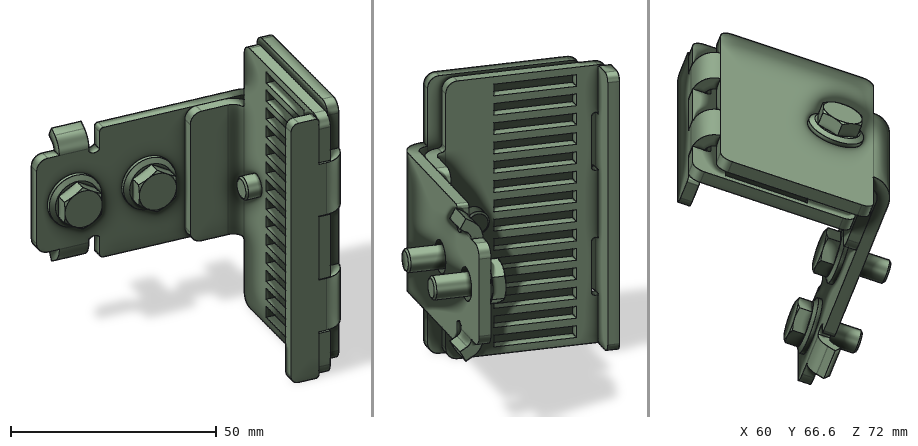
import cadquery as cq
import math


sheet = 3.0
bend_radius = 6.0
corner_radius = 3.0
small_radius = 1.0
hook_corner_radius = 2.0
plate_height = 72.0
arm_height = 36.0
width = 51.0
plate_gap = 1.9

shoulder_y = 44.0
arm_end_y = 61.0
tongue_height = 26.1
relief_width = 2.9
relief_edge_z = 12.25
relief_bottom_z = 11.5
lug_width = 8.0
lug_bend_radius = 2.0
lug_bend_angle = math.radians(60)
lug_straight = 2.15
outer_plate_end_x = 45.6
hook_end_y = 15.5
hook_tab_z = 16.05
hook_tab_height = 14.4

inner_x = sheet
inner_y = sheet + plate_gap
inner_plate_back_y = inner_y + sheet
inner_arm_end_y = 21.0
notch_z = 16.2
notch_height = 15.0
notch_depth = 4.7
slot_count = 14
slot_length = 21.2
slot_height = 3.0
slot_margin = 1.95
slot_pitch = (plate_height - 2 * slot_margin - slot_height) / (slot_count - 1)
slot_end_gap = 8.5

shaft_diameter = 6.0
shaft_length = 12.0
tip_chamfer = 0.5
flange_diameter = 14.2
flange_rim = 1.0
flange_height = 1.9
flange_top_radius = 5.8
hex_flats = 10.0
hex_height = 3.7
hex_chamfer_drop = 0.4
arm_hole_diameter = 8.4
arm_bolt_ys = (30.95, 51.0)
plate_bolt_x = 16.0


def box(x_min, x_max, y_min, y_max, height):
    """Block centred on Z = 0."""
    return cq.Workplane("XY").box(x_max - x_min, y_max - y_min, height).translate(
        ((x_min + x_max) / 2, (y_min + y_max) / 2, 0)
    )


def bent_arm(x, y, end_y, height):
    """Arm along -Y with a quarter bend towards +X; x, y is its sharp outer corner."""
    inside = bend_radius - sheet
    bend_x = x + bend_radius
    bend_y = -y - bend_radius
    diagonal = math.sqrt(0.5)
    return (
        cq.Workplane("XY")
        .moveTo(x, -end_y)
        .lineTo(x, bend_y)
        .threePointArc((bend_x - bend_radius * diagonal, bend_y + bend_radius * diagonal), (bend_x, -y))
        .lineTo(bend_x, -y - sheet)
        .threePointArc((bend_x - inside * diagonal, bend_y + inside * diagonal), (x + sheet, bend_y))
        .lineTo(x + sheet, -end_y)
        .close()
        .extrude(height / 2, both=True)
    )


def arm_relief():
    """Cutter for the arched relief between the shoulder and the upper lug."""
    lug_side_y = -shoulder_y - relief_width
    return (
        cq.Workplane("YZ")
        .moveTo(-shoulder_y, arm_height / 2)
        .lineTo(-shoulder_y, relief_edge_z)
        .threePointArc((-shoulder_y - relief_width / 2, relief_bottom_z), (lug_side_y, relief_edge_z))
        .lineTo(lug_side_y, arm_height / 2)
        .close()
        .extrude(sheet)
    )


def arm_lug():
    """Upper lug on the tongue, bent outwards towards -X."""
    root_z = tongue_height / 2
    inside = lug_bend_radius
    outside = lug_bend_radius + sheet

    def on_bend(radius, angle):
        return (-inside + radius * math.cos(angle), root_z + radius * math.sin(angle))

    def at_tip(radius):
        x, z = on_bend(radius, lug_bend_angle)
        return (x - lug_straight * math.sin(lug_bend_angle), z + lug_straight * math.cos(lug_bend_angle))

    return (
        cq.Workplane("XZ", origin=(0, -shoulder_y - relief_width, 0))
        .moveTo(0, root_z)
        .threePointArc(on_bend(inside, lug_bend_angle / 2), on_bend(inside, lug_bend_angle))
        .lineTo(*at_tip(inside))
        .lineTo(*at_tip(outside))
        .lineTo(*on_bend(outside, lug_bend_angle))
        .threePointArc(on_bend(outside, lug_bend_angle / 2), (sheet, root_z))
        .close()
        .extrude(lug_width)
    )


def hook_tab():
    """Upper tab that bends from the outer plate towards -Y and carries the hook."""
    tab = bent_arm(0, 0, inner_plate_back_y, hook_tab_height)
    return tab.mirror("YZ").translate((width, 0, hook_tab_z))


def plate_bolt_hole():
    """Cutter for the bolt that joins the two plates."""
    return (
        cq.Workplane("XZ", origin=(plate_bolt_x, 0, 0))
        .circle(shaft_diameter / 2)
        .extrude(inner_plate_back_y)
    )


def make_outer_bracket():
    arm = bent_arm(0, 0, shoulder_y, arm_height).faces("<Y").edges("|X").fillet(small_radius)
    tongue = box(0, sheet, -arm_end_y, -shoulder_y, tongue_height)
    tongue = tongue.faces("<Y").edges("|X").fillet(corner_radius)

    plate = box(bend_radius, outer_plate_end_x, -sheet, 0, plate_height).edges("|Y").fillet(corner_radius)

    hook = box(width - sheet, width, -hook_end_y, -inner_plate_back_y, plate_height)
    hook = hook.faces("<Y").edges("|X").fillet(hook_corner_radius)
    hook = hook.faces(">Y").edges("|X").fillet(small_radius)

    body = arm.union(tongue).union(plate).union(hook)
    for feature in (arm_lug(), hook_tab()):
        body = body.union(feature).union(feature.mirror("XY"))

    relief = arm_relief()
    body = body.cut(relief).cut(relief.mirror("XY"))
    for y in arm_bolt_ys:
        hole = cq.Workplane("YZ").center(-y, 0).circle(arm_hole_diameter / 2).extrude(sheet)
        body = body.cut(hole)
    return body.cut(plate_bolt_hole())


def neck_outline():
    """Neck of the inner bracket, flaring into the plate edge with small fillets."""
    half = arm_height / 2
    plate_edge_x = inner_x + bend_radius
    flare_x = plate_edge_x - small_radius
    flare_z = half + small_radius
    arc_x = flare_x + small_radius * math.sqrt(0.5)
    arc_z = flare_z - small_radius * math.sqrt(0.5)
    return (
        cq.Workplane("XZ")
        .moveTo(inner_x, -half)
        .lineTo(flare_x, -half)
        .threePointArc((arc_x, -arc_z), (plate_edge_x, -flare_z))
        .lineTo(plate_edge_x, flare_z)
        .threePointArc((arc_x, arc_z), (flare_x, half))
        .lineTo(inner_x, half)
        .close()
        .extrude(inner_arm_end_y)
    )


def make_inner_bracket():
    arm = bent_arm(inner_x, inner_y, inner_arm_end_y, arm_height + 2 * small_radius)
    arm = arm.intersect(neck_outline()).faces("<Y").edges("|X").fillet(corner_radius)

    plate = box(inner_x + bend_radius, width, -inner_plate_back_y, -inner_y, plate_height)
    plate = plate.edges("|Y").fillet(corner_radius)
    body = arm.union(plate)

    for z in (-notch_z, notch_z):
        notch = box(width - notch_depth, width, -inner_plate_back_y, -inner_y, notch_height)
        notch = notch.faces("<X").edges("|Y").fillet(small_radius)
        body = body.cut(notch.translate((0, 0, z)))

    slot_end_x = width - slot_end_gap
    for index in range(slot_count):
        z = (index - (slot_count - 1) / 2) * slot_pitch
        slot = box(slot_end_x - slot_length, slot_end_x, -inner_plate_back_y, -inner_y, slot_height)
        body = body.cut(slot.translate((0, 0, z)))
    return body.cut(plate_bolt_hole())


def make_bolt():
    """Flanged hexagon bolt: seat at the origin, head towards +X, two hexagon corners on Z."""
    shaft = cq.Workplane("XY").circle(shaft_diameter / 2).extrude(-shaft_length)
    shaft = shaft.faces("<Z").chamfer(tip_chamfer)

    head_top = flange_height + hex_height
    corner_distance = hex_flats / math.sqrt(3)
    head = (
        cq.Workplane("XY", origin=(0, 0, flange_height))
        .polygon(6, 2 * corner_distance)
        .extrude(hex_height)
    )
    chamfer_envelope = (
        cq.Workplane("XZ")
        .moveTo(0, flange_height)
        .lineTo(corner_distance, flange_height)
        .lineTo(corner_distance, head_top - hex_chamfer_drop)
        .lineTo(hex_flats / 2, head_top)
        .lineTo(0, head_top)
        .close()
        .revolve(360, (0, 0, 0), (0, 1, 0))
    )
    flange = (
        cq.Workplane("XZ")
        .lineTo(flange_diameter / 2, 0)
        .lineTo(flange_diameter / 2, flange_rim)
        .lineTo(flange_top_radius, flange_height)
        .lineTo(0, flange_height)
        .close()
        .revolve(360, (0, 0, 0), (0, 1, 0))
    )
    bolt = shaft.union(flange).union(head.intersect(chamfer_envelope))
    return bolt.rotate((0, 0, 0), (0, 1, 0), 90)


outer_bracket = make_outer_bracket()
inner_bracket = make_inner_bracket()
bolts = [make_bolt().translate((sheet, -y, 0)) for y in arm_bolt_ys]
bolts.append(make_bolt().rotate((0, 0, 0), (0, 0, 1), 90).translate((plate_bolt_x, 0, 0)))

result = cq.Compound.makeCompound(
    [body.solids().val() for body in (outer_bracket, inner_bracket, *bolts)]
)